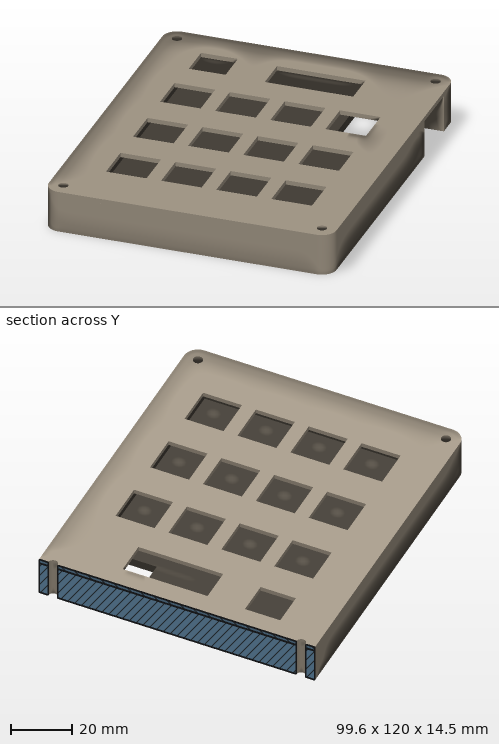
import cadquery as cq

WIDTH = 99.6
LENGTH = 120.0
HEIGHT = 14.5
CORNER_RADIUS = 5.0

PLATE_THICKNESS = 1.5
CASE_HEIGHT = HEIGHT - PLATE_THICKNESS
FLOOR_THICKNESS = 3.0

WALL = 9.6
CAVITY_WIDTH = WIDTH - 2 * WALL
CAVITY_LENGTH = LENGTH - 2 * WALL

SCREW_DIAMETER = 3.4
SCREW_INSET = CORNER_RADIUS
SCREW_SPACING_X = WIDTH - 2 * SCREW_INSET
SCREW_SPACING_Y = LENGTH - 2 * SCREW_INSET

NOTCH_START_X = 19.1
NOTCH_FRONT_Y = 30.2
NOTCH_BACK_Y = 48.8

KEY_SIZE = 14.0
KEY_COLUMNS = 4
KEY_ROWS = 3
KEY_PITCH_X = 19.1
KEY_PITCH_Y = 26.2
KEY_GRID_CENTER = (0.7, -8.0)

SMALL_WINDOW_SIZE = (12.7, 11.9)
SMALL_WINDOW_CENTER = (-27.6, 42.1)
DISPLAY_WINDOW_SIZE = (30.6, 11.9)
DISPLAY_WINDOW_CENTER = (7.8, 41.6)


def rounded_slab(bottom, thickness):
    """Full-size slab with round vertical corners and the four screw holes."""
    return (
        cq.Workplane("XY", origin=(0, 0, bottom))
        .rect(WIDTH, LENGTH)
        .extrude(thickness)
        .edges("|Z")
        .fillet(CORNER_RADIUS)
        .faces(">Z")
        .workplane()
        .rect(SCREW_SPACING_X, SCREW_SPACING_Y, forConstruction=True)
        .vertices()
        .hole(SCREW_DIAMETER)
    )


def make_case():
    """Open-topped tray with a notch cut through its floor and +X wall."""
    cavity = (
        cq.Workplane("XY", origin=(0, 0, FLOOR_THICKNESS))
        .rect(CAVITY_WIDTH, CAVITY_LENGTH)
        .extrude(CASE_HEIGHT - FLOOR_THICKNESS)
    )
    notch = cq.Workplane("XY", origin=(NOTCH_START_X, NOTCH_FRONT_Y, 0)).box(
        WIDTH / 2 - NOTCH_START_X,
        NOTCH_BACK_Y - NOTCH_FRONT_Y,
        CASE_HEIGHT,
        centered=False,
    )
    return rounded_slab(0, CASE_HEIGHT).cut(cavity).cut(notch)


def plate_window(size, center):
    """Cutter for one rectangular window through the plate."""
    return (
        cq.Workplane("XY", origin=(0, 0, CASE_HEIGHT))
        .center(*center)
        .rect(*size)
        .extrude(PLATE_THICKNESS)
    )


def key_windows():
    """Cutter for the whole grid of key windows."""
    return (
        cq.Workplane("XY", origin=(0, 0, CASE_HEIGHT))
        .center(*KEY_GRID_CENTER)
        .rarray(KEY_PITCH_X, KEY_PITCH_Y, KEY_COLUMNS, KEY_ROWS)
        .rect(KEY_SIZE, KEY_SIZE)
        .extrude(PLATE_THICKNESS)
    )


def make_plate():
    """Cover plate with the key, small and display windows."""
    return (
        rounded_slab(CASE_HEIGHT, PLATE_THICKNESS)
        .cut(key_windows())
        .cut(plate_window(SMALL_WINDOW_SIZE, SMALL_WINDOW_CENTER))
        .cut(plate_window(DISPLAY_WINDOW_SIZE, DISPLAY_WINDOW_CENTER))
    )


case = make_case()
plate = make_plate()

result = cq.Compound.makeCompound([case.val(), plate.val()])